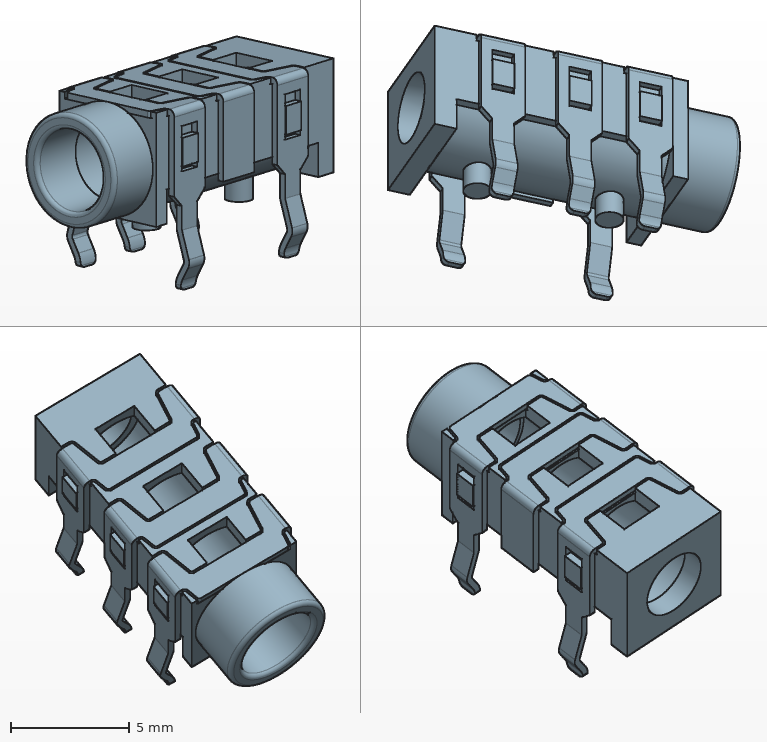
import cadquery as cq
import math


body_length = 11.5
body_width = 5.4
body_height = 5.0
barrel_length = 2.5
lip_radius = 0.2
mouth_diameter = 3.6
chamber_diameter = 4.0
end_bore_diameter = 3.1
end_bore_length = 1.0
side_relief_top = -1.0
front_block_length = 0.67
rear_block_length = 1.0
peg_diameter = 1.2
peg_length = 1.0
peg_setbacks = (2.5, 8.5)
window_width = 2.0
window_length = 1.5

thickness = 0.3
contact_setbacks = (1.8, 5.0, 8.5)
right_leads = (True, False, True)
strap_width = 2.0
strap_gap = 0.1
strap_rear_edge = -0.6
arm_inner_x = 2.2
heel_inner_x = 2.48
strap_slant = 0.2
convex_corner_radius = 0.14
concave_corner_radius = 0.2
slot_width = 1.0
slot_top_drop = 0.8
slot_height = 1.99
catch_top_drop = 1.3
catch_height = 1.26
catch_proud = 0.05
lead_width = 1.0
taper_drop = 3.8
lead_bend_drop = 5.35
lead_knee_drop = 6.78
lead_knee_x = 3.45
lead_foot_drop = 7.7
lead_foot_x = 2.93
lead_end_drop = 8.02
knee_radius = 0.5
foot_radius = 0.8
lead_end_radius = 0.25

top_z = body_height / 2
side_x = body_width / 2
outer_x = side_x + thickness
strap_half = strap_width / 2
lead_half = lead_width / 2
strap_front_edge = -contact_setbacks[0]
window_front_edges = (strap_rear_edge, strap_rear_edge + strap_gap, strap_rear_edge + strap_gap)


def box_between(x_range, y_range, z_range):
    """Box that fills the given (low, high) ranges."""
    lows, highs = zip(x_range, y_range, z_range)
    sizes = [high - low for low, high in zip(lows, highs)]
    return cq.Workplane("XY").box(*sizes, centered=False).translate(lows)


def cylinder_y(diameter, y_start, y_end):
    """Cylinder on the bore axis."""
    disc = cq.Workplane("XZ", origin=(0, y_start, 0)).circle(diameter / 2)
    return disc.extrude(y_start - y_end)


def mitred_offset(points, distance):
    """Shift an open polyline sideways by a distance, keeping its corners sharp.

    The result lies to the right of the direction of travel.
    """
    angles = [math.atan2(b[1] - a[1], b[0] - a[0]) for a, b in zip(points, points[1:])]
    angles = [angles[0]] + angles + [angles[-1]]
    shifted = []
    for (x, z), before, after in zip(points, angles, angles[1:]):
        middle = (before + after) / 2
        reach = distance / math.cos((after - before) / 2)
        shifted.append((x + reach * math.sin(middle), z - reach * math.cos(middle)))
    return shifted



def make_strap(setback):
    """Flat strap lying flush in the top of the housing, with two arms reaching back."""
    arm_root_x = arm_inner_x - strap_slant * (strap_half - strap_rear_edge)
    front_corner_x = heel_inner_x - strap_slant * (-strap_half - strap_front_edge)
    half_outline = [
        (front_corner_x, strap_front_edge),
        (heel_inner_x, -strap_half),
        (side_x, -strap_half),
        (side_x, strap_half),
        (arm_inner_x, strap_half),
        (arm_root_x, strap_rear_edge),
    ]
    mirrored = [(-x, y) for x, y in reversed(half_outline)]
    strap = (
        cq.Workplane("XY", origin=(0, setback, top_z))
        .polyline(half_outline + mirrored)
        .close()
        .extrude(-thickness)
    )
    corners = (
        (half_outline[0], convex_corner_radius),
        (half_outline[1], concave_corner_radius),
        (half_outline[4], convex_corner_radius),
        (half_outline[5], concave_corner_radius),
    )
    for (x, y), radius in corners:
        for side in (-1, 1):
            middle = (side * x, setback + y, top_z - thickness / 2)
            strap = strap.edges(cq.selectors.NearestToPointSelector(middle)).fillet(radius)
    return strap


def make_bent_strip(setback):
    """Leg on the +X side as a strip of constant width, bent at the shoulder, knee and foot."""
    outer = [
        (outer_x, top_z - thickness),
        (outer_x, top_z - lead_bend_drop),
        (lead_knee_x, top_z - lead_knee_drop),
        (lead_foot_x, top_z - lead_foot_drop),
        (lead_foot_x, top_z - lead_end_drop),
    ]
    inner = mitred_offset(outer, thickness)
    shoulder_mid = thickness * math.sqrt(0.5)
    strip = (
        cq.Workplane("XZ", origin=(0, setback + strap_half, 0))
        .moveTo(side_x, top_z)
        .threePointArc((side_x + shoulder_mid, top_z - thickness + shoulder_mid), outer[0])
        .polyline(outer[1:] + inner[:0:-1], includeCurrent=True)
        .close()
        .extrude(strap_width)
    )
    bends = (
        (outer[2], knee_radius),
        (inner[2], knee_radius - thickness),
        (outer[3], foot_radius),
        (inner[3], foot_radius + thickness),
    )
    for (x, z), radius in bends:
        strip = strip.edges(cq.selectors.NearestToPointSelector((x, setback, z))).fillet(radius)
    return strip


def make_leg_silhouette(setback, has_lead):
    """Side outline of a leg: a wide plate, and a narrow round-ended lead below it."""
    taper_z = top_z - taper_drop
    lead_z = taper_z - (strap_half - lead_half)
    end_z = top_z - lead_end_drop
    silhouette = box_between((0, lead_knee_x), (-strap_half, strap_half), (taper_z, top_z))
    if has_lead:
        lead = (
            cq.Workplane("YZ")
            .polyline([
                (-strap_half, taper_z),
                (-lead_half, lead_z),
                (-lead_half, end_z),
                (lead_half, end_z),
                (lead_half, lead_z),
                (strap_half, taper_z),
            ])
            .close()
            .extrude(lead_knee_x)
            .edges("|X and <Z")
            .fillet(lead_end_radius)
        )
        silhouette = silhouette.union(lead)
    return silhouette.translate((0, setback, 0))


def make_leg(setback, has_lead):
    """Leg on the +X side; one with a lead also has the slot that takes a housing catch."""
    slot_top = top_z - slot_top_drop
    slot = box_between(
        (side_x, outer_x),
        (setback - slot_width / 2, setback + slot_width / 2),
        (slot_top - slot_height, slot_top),
    )
    leg = make_bent_strip(setback).intersect(make_leg_silhouette(setback, has_lead))
    return leg.cut(slot) if has_lead else leg


def make_contact(setback, has_right_lead):
    """Strap with a leg on each side; the left leg always carries a lead."""
    left_leg = make_leg(setback, True).mirror("YZ")
    right_leg = make_leg(setback, has_right_lead)
    return make_strap(setback).union(left_leg).union(right_leg)



def make_body():
    """Block whose lower sides are relieved to a round belly between two end blocks."""
    body = box_between((-side_x, side_x), (0, body_length), (-top_z, top_z))
    relief = box_between(
        (-side_x, side_x),
        (front_block_length, body_length - rear_block_length),
        (-top_z, side_relief_top),
    )
    return body.cut(relief).union(cylinder_y(body_height, 0, body_length))


def make_strap_recess(setback):
    """Recess for a strap, wider than it by a small gap all round."""
    outline = make_strap(setback).faces(">Z").wires().toPending()
    return outline.offset2D(strap_gap).extrude(-thickness, combine=False)


def make_window(setback, front_edge):
    """Rectangular opening from the top into the bore."""
    y_front = setback + front_edge
    return box_between(
        (-window_width / 2, window_width / 2),
        (y_front, y_front + window_length),
        (0, top_z),
    )


def make_catch(setback):
    """Block on the +X side that fills part of a contact's slot and stands slightly proud."""
    catch_top = top_z - catch_top_drop
    return box_between(
        (side_x, outer_x + catch_proud),
        (setback - slot_width / 2, setback + slot_width / 2),
        (catch_top - catch_height, catch_top),
    )


def make_barrel():
    """Round nose with a rounded rim."""
    return cylinder_y(body_height, -barrel_length, 0).faces("<Y").edges().fillet(lip_radius)


def make_bore():
    """Through bore: a round-rimmed mouth in the barrel, a wider chamber and a narrow end."""
    rim_end = lip_radius - barrel_length
    rim = cylinder_y(mouth_diameter + 2 * lip_radius, -barrel_length, rim_end)
    rounding = cq.Workplane("XY").add(cq.Solid.makeTorus(
        mouth_diameter / 2 + lip_radius,
        lip_radius,
        cq.Vector(0, rim_end, 0),
        cq.Vector(0, 1, 0),
    ))
    mouth = cylinder_y(mouth_diameter, -barrel_length, 0)
    chamber = cylinder_y(chamber_diameter, 0, body_length - end_bore_length)
    end = cylinder_y(end_bore_diameter, 0, body_length)
    return rim.cut(rounding).union(mouth).union(chamber).union(end)


def make_peg(setback):
    """Locating peg under the housing, rooted in the belly outside the bore."""
    root_z = -(body_height + chamber_diameter) / 4
    peg = cq.Workplane("XY", origin=(0, setback, root_z)).circle(peg_diameter / 2)
    return peg.extrude(-top_z - peg_length - root_z)


def make_housing():
    housing = make_body()
    for setback in contact_setbacks:
        housing = housing.cut(make_strap_recess(setback))
    housing = housing.union(make_barrel())
    for setback in peg_setbacks:
        housing = housing.union(make_peg(setback))
    housing = housing.cut(make_bore())
    for setback, front_edge in zip(contact_setbacks, window_front_edges):
        housing = housing.cut(make_window(setback, front_edge))
    for setback, has_right_lead in zip(contact_setbacks, right_leads):
        catch = make_catch(setback)
        housing = housing.union(catch.mirror("YZ"))
        if has_right_lead:
            housing = housing.union(catch)
    return housing


housing = make_housing()
contacts = [
    make_contact(setback, has_right_lead)
    for setback, has_right_lead in zip(contact_setbacks, right_leads)
]

result = cq.Compound.makeCompound([housing.val(), *[contact.val() for contact in contacts]])